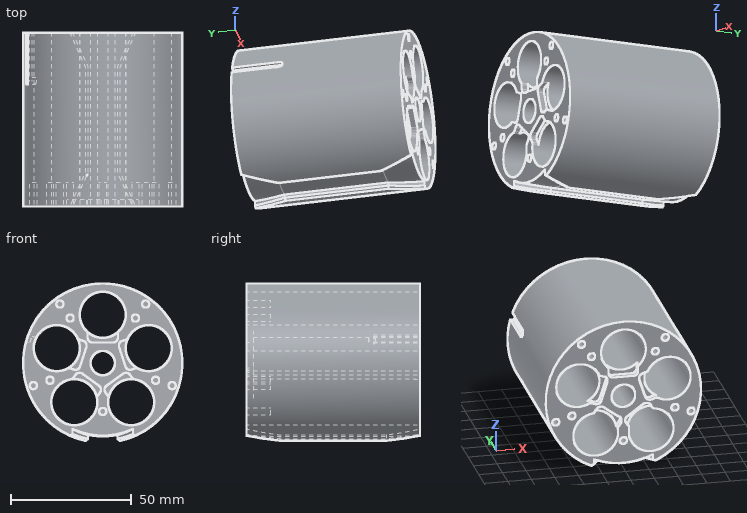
import cadquery as cq
import math

BODY_RADIUS = 33.0
BODY_LENGTH = 72.0
FRONT_Y = -BODY_LENGTH / 2
BACK_Y = BODY_LENGTH / 2

AXLE_DIAMETER = 10.0
CHAMBER_COUNT = 5
CHAMBER_DIAMETER = 19.0
CHAMBER_PITCH_RADIUS = 20.0
CHAMBER_STEP = 360 / CHAMBER_COUNT
TOP_ANGLE = 90.0

POCKET_WIDTH = 12.5
POCKET_INNER_RADIUS = 8.5
POCKET_CORNER_RADIUS = 2.0
POCKET_MOUTH_RADIUS = 1.0
POCKET_DEPTH = 3.0

PIN_DIAMETER = 3.0
PIN_DEPTH = 10.0
INNER_PIN_RADIUS = 23.0
OUTER_PIN_RADIUS = 30.2
BOTTOM_PIN_RADIUS = 20.0

CHANNEL_WIDTH = 12.2
CHANNEL_END_WIDTH = 25.0
CHANNEL_FLARE_LENGTH = 14.0
CHANNEL_FLOOR_RADIUS = 30.4
CHANNEL_END_FLOOR_RADIUS = 30.0
CHANNEL_EDGE_CHAMFER = 1.1

SLOT_ANGLE = TOP_ANGLE + CHAMBER_STEP
SLOT_WIDTH = 3.0
SLOT_LENGTH = 21.5
SLOT_FLOOR_RADIUS = 31.3

OVERCUT = 1.0
TOLERANCE = 0.01


def cylinder(radius, start_y, length, distance=0.0, angle=0.0):
    """Cylinder along +Y whose axis is at a polar position in the XZ plane."""
    x = distance * math.cos(math.radians(angle))
    z = distance * math.sin(math.radians(angle))
    return cq.Workplane("XZ", origin=(x, start_y, z)).circle(radius).extrude(-length)


def turn_to(shape, angle):
    """Turn a shape built along +X about the drum axis to a polar angle."""
    return shape.rotate((0, 0, 0), (0, 1, 0), -angle)


def flared_channel():
    """Channel cutter: a flared prism less the core that forms its floor."""
    half = CHANNEL_WIDTH / 2
    half_end = CHANNEL_END_WIDTH / 2
    flare_y = BACK_Y - CHANNEL_FLARE_LENGTH
    prism = (
        cq.Workplane("XY", origin=(0, 0, -BODY_RADIUS - OVERCUT))
        .polyline([
            (-half_end, FRONT_Y), (half_end, FRONT_Y), (half, -flare_y), (half, flare_y),
            (half_end, BACK_Y), (-half_end, BACK_Y), (-half, flare_y), (-half, -flare_y),
        ])
        .close()
        .extrude(BODY_RADIUS)
    )
    core = (
        cq.Workplane("XY")
        .polyline([
            (0, FRONT_Y), (CHANNEL_END_FLOOR_RADIUS, FRONT_Y), (CHANNEL_FLOOR_RADIUS, -flare_y),
            (CHANNEL_FLOOR_RADIUS, flare_y), (CHANNEL_END_FLOOR_RADIUS, BACK_Y), (0, BACK_Y),
        ])
        .close()
        .revolve(360, (0, 0, 0), (0, 1, 0))
    )
    return prism.cut(core)


def channel_rim_edges(body):
    """Long edges where the channel walls meet the outer surface."""
    reach = CHANNEL_END_WIDTH / 2 + OVERCUT
    rim = []
    for edge in body.edges().vals():
        middle = edge.positionAt(0.5)
        on_surface = abs(math.hypot(middle.x, middle.z) - BODY_RADIUS) < TOLERANCE
        in_channel = middle.z < 0 and abs(middle.x) < reach
        runs_along_body = edge.BoundingBox().ylen > CHANNEL_FLARE_LENGTH / 2
        if on_surface and in_channel and runs_along_body:
            rim.append(edge)
    return rim


def chamber_with_pocket():
    """Chamber bore and its front pocket as one cutter, lying along +X."""
    length = CHAMBER_PITCH_RADIUS - POCKET_INNER_RADIUS
    pocket = (
        cq.Workplane("XZ", origin=(POCKET_INNER_RADIUS + length / 2, FRONT_Y, 0))
        .rect(length, POCKET_WIDTH)
        .extrude(-POCKET_DEPTH)
        .edges("|Y and <X")
        .fillet(POCKET_CORNER_RADIUS)
    )
    bore = cylinder(CHAMBER_DIAMETER / 2, FRONT_Y, POCKET_DEPTH, CHAMBER_PITCH_RADIUS)
    half_width = POCKET_WIDTH / 2
    mouth_x = CHAMBER_PITCH_RADIUS - math.sqrt((CHAMBER_DIAMETER / 2) ** 2 - half_width ** 2)
    mouth = pocket.union(bore)
    for side in (-half_width, half_width):
        corner = cq.selectors.NearestToPointSelector((mouth_x, FRONT_Y + POCKET_DEPTH / 2, side))
        mouth = mouth.edges("|Y").edges(corner).fillet(POCKET_MOUTH_RADIUS)
    return mouth.union(cylinder(CHAMBER_DIAMETER / 2, FRONT_Y, BODY_LENGTH, CHAMBER_PITCH_RADIUS))


def wall_slot():
    """Slot cutter lying along +X; its end hole opens into the chamber."""
    end_y = BACK_Y - SLOT_LENGTH + SLOT_WIDTH / 2
    run = BACK_Y - end_y
    floor = cq.Workplane("YZ", origin=(SLOT_FLOOR_RADIUS, 0, 0))
    depth = BODY_RADIUS - SLOT_FLOOR_RADIUS + OVERCUT
    groove = floor.center(end_y + run / 2, 0).rect(run, SLOT_WIDTH).extrude(depth)
    hole = (
        cq.Workplane("YZ", origin=(CHAMBER_PITCH_RADIUS, end_y, 0))
        .circle(SLOT_WIDTH / 2)
        .extrude(BODY_RADIUS - CHAMBER_PITCH_RADIUS + OVERCUT)
    )
    return groove.union(hole)


def drum_with_channel():
    body = cylinder(BODY_RADIUS, FRONT_Y, BODY_LENGTH).cut(flared_channel())
    return body.newObject(channel_rim_edges(body)).chamfer(CHANNEL_EDGE_CHAMFER)


def pin_holes(web_angle):
    """Pin holes in the web at one angle; the bottom web has a single hole."""
    is_bottom_web = math.isclose(web_angle, TOP_ANGLE + 180)
    pin_radii = [BOTTOM_PIN_RADIUS] if is_bottom_web else [INNER_PIN_RADIUS, OUTER_PIN_RADIUS]
    holes = cq.Workplane("XZ")
    for pin_radius in pin_radii:
        holes = holes.add(cylinder(PIN_DIAMETER / 2, FRONT_Y, PIN_DEPTH, pin_radius, web_angle))
    return holes.combine()


body = drum_with_channel()
body = body.cut(cylinder(AXLE_DIAMETER / 2, FRONT_Y, BODY_LENGTH))
for index in range(CHAMBER_COUNT):
    chamber_angle = TOP_ANGLE + index * CHAMBER_STEP
    body = body.cut(turn_to(chamber_with_pocket(), chamber_angle))
    body = body.cut(pin_holes(chamber_angle + CHAMBER_STEP / 2))

result = body.cut(turn_to(wall_slot(), SLOT_ANGLE))